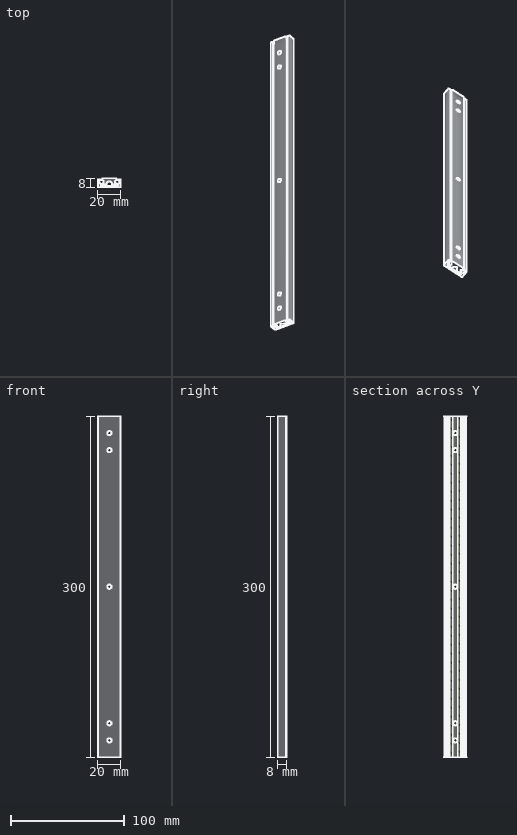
import cadquery as cq
length = 300.0
rail_width = 20.0
assembly_depth = 8.0

rail_depth = 7.2
floor_thickness = 1.6
mouth_width = 15.0
rail_edge_radius = 0.3

slider_width = 12.5
slider_bottom = 2.5
head_radius = 0.5

track_middle = 4.8
track_height = 3.0
track_sink = 1.35

channel_width = 4.5
channel_shoulder = 3.5
channel_crown = 5.0

hole_diameter = 3.5
hole_end_distances = [15.0, 30.0]
hole_heights = (
    hole_end_distances
    + [length / 2]
    + [length - distance for distance in hole_end_distances]
)

track_low = track_middle - track_height / 2
track_high = track_middle + track_height / 2


def mirrored_bar(half_outline):
    """Extrude a half outline, closed along X = 0, and mirror it into a full bar."""
    half = half_outline.close().extrude(length)
    return half.union(half.mirror("YZ"))


def drill_holes(body):
    """Cut the row of screw holes straight through a body along Y."""
    for height in hole_heights:
        drill = cq.Workplane("XZ", origin=(0, 0, height)).circle(hole_diameter / 2).extrude(-assembly_depth)
        body = body.cut(drill)
    return body


def make_rail():
    outer_x = rail_width / 2
    mouth_x = mouth_width / 2
    half_outline = (
        cq.Workplane("XY")
        .lineTo(outer_x, 0)
        .lineTo(outer_x, rail_depth)
        .lineTo(mouth_x, rail_depth)
        .lineTo(mouth_x, track_high)
        .threePointArc((mouth_x + track_sink, track_middle), (mouth_x, track_low))
        .lineTo(mouth_x, floor_thickness)
        .lineTo(0, floor_thickness)
    )
    bar = mirrored_bar(half_outline)
    bar = bar.faces("<X or >X").edges("|Z").fillet(rail_edge_radius)
    return drill_holes(bar)


def make_channel():
    side_x = channel_width / 2
    return (
        cq.Workplane("XY")
        .moveTo(-side_x, slider_bottom)
        .lineTo(side_x, slider_bottom)
        .lineTo(side_x, channel_shoulder)
        .threePointArc((0, channel_crown), (-side_x, channel_shoulder))
        .close()
        .extrude(length)
    )


def make_slider():
    edge_x = slider_width / 2
    half_outline = (
        cq.Workplane("XY")
        .moveTo(0, slider_bottom)
        .lineTo(edge_x, slider_bottom)
        .lineTo(edge_x, track_low)
        .threePointArc((edge_x - track_sink, track_middle), (edge_x, track_high))
        .lineTo(edge_x, assembly_depth)
        .lineTo(0, assembly_depth)
    )
    bar = mirrored_bar(half_outline)
    bar = bar.faces(">Y").edges("|Z").fillet(head_radius)
    return drill_holes(bar.cut(make_channel()))


rail = make_rail()
slider = make_slider()

result = cq.Compound.makeCompound([rail.val(), slider.val()])